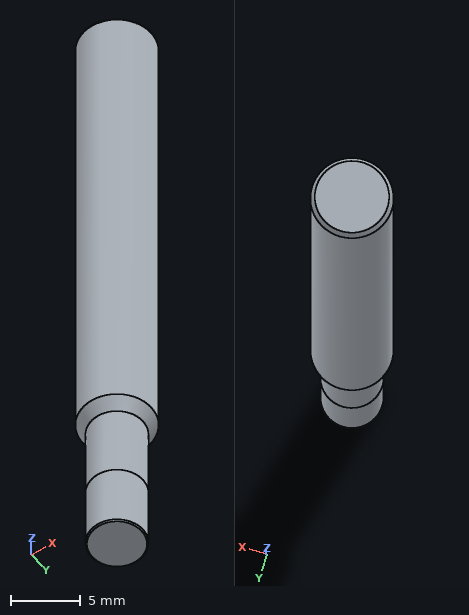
import cadquery as cq

total_length = 54.0
shank_diameter = 6.0
neck_diameter = 4.55
shank_top_chamfer = 0.3
tip_chamfer = 0.1
tip_length = 5.5
neck_length = 6.35
taper_height = 1.0

shank_radius = shank_diameter / 2
neck_radius = neck_diameter / 2
taper_bottom = tip_length + neck_length
taper_top = taper_bottom + taper_height


def make_shank():
    """Shank with a chamfered top, tapering down to a narrower neck."""
    profile = [
        (0, tip_length),
        (neck_radius, tip_length),
        (neck_radius, taper_bottom),
        (shank_radius, taper_top),
        (shank_radius, total_length - shank_top_chamfer),
        (shank_radius - shank_top_chamfer, total_length),
        (0, total_length),
    ]
    return cq.Workplane("XZ").polyline(profile).close().revolve(360, (0, 0), (0, 1))


def make_tip():
    """Cylindrical tip, flush with the neck, with a chamfered lower edge."""
    return cq.Workplane("XY").circle(neck_radius).extrude(tip_length).faces("<Z").chamfer(tip_chamfer)


shank = make_shank()
tip = make_tip()

result = cq.Compound.makeCompound([shank.val(), tip.val()])